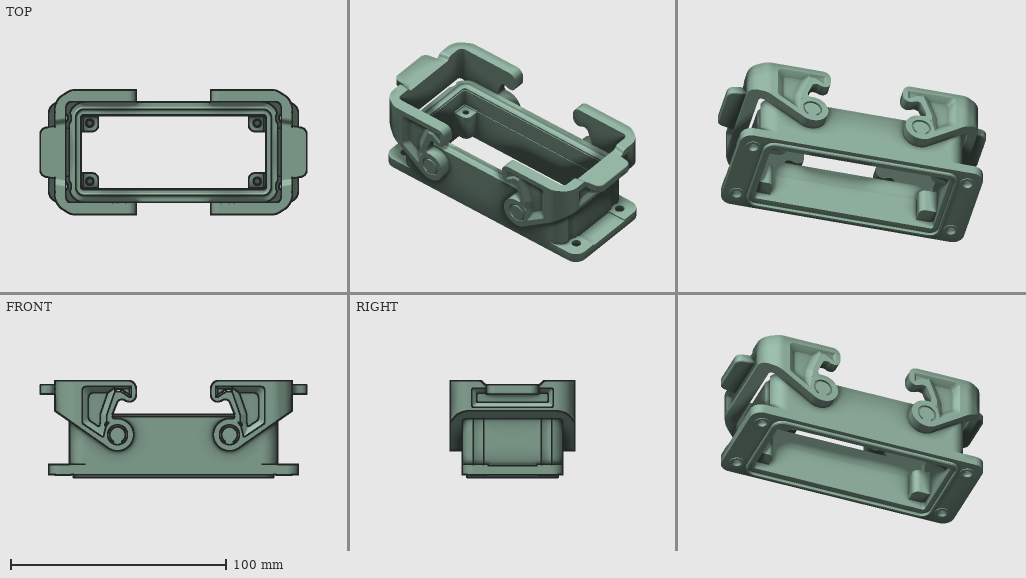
import cadquery as cq
import math


flange_length = 116.0
flange_thickness = 4.85
flange_corner_radius = 5.4
recess_width = 22.4
recess_depth = 0.7
mount_hole_x = 51.25
mount_hole_y = 15.9
mount_hole_diameter = 4.5
screw_relief_radius = 3.8
pad_radius = 3.6
pad_height = 0.35

body_length = 96.9
body_width = 46.7
body_height = 26.9
body_corner_radius = 7.2
opening_length = 85.6
upper_opening_width = 34.2
lower_opening_width = 33.7
opening_corner_radius = 1.5
opening_step_z = 16.8
rebate_margin = 0.3
rebate_depth = 1.0

bead_length = 90.9
bead_width = 40.1
bead_corner_radius = 4.1
bead_half_thickness = 1.45
bead_height = 1.15
bottom_seal_length = 93.0
bottom_seal_width = 42.3
bottom_seal_height = 1.5
bottom_seal_radius = 5.3
bottom_seal_chamfer = 0.4
bottom_seal_thickness = 1.25

post_inner_x = 34.9
post_inner_y = 9.6
post_corner_radius = 3.0
post_bottom_z = 4.0
post_hole_x = 38.9
post_hole_y = 13.5
post_hole_diameter = 2.9
post_hole_depth = 8.0
post_hole_chamfer = 0.4
post_ledge_x = 42.0
post_ledge_y = 16.4
post_ledge_height = 0.4

lever_length = 110.3
lever_width = 58.0
lever_inner_length = 99.9
lever_end_flat_width = 48.6
lever_side_flat_length = 95.1
lever_end_radius = 8.1
lever_side_radius = 6.5
lever_inner_radius = 2.5
lever_top_z = 43.75
lever_end_bottom_z = 29.7
hook_end_x = 17.3
hook_upper_radius = 3.8
hook_lower_radius = 3.3
hook_lower_z = 33.8
pivot_x = 26.0
pivot_z = 18.55
pivot_radius = 7.5

throat_roof_start = (-22.2, 34.2)
throat_roof_top = (-24.2, 34.9)
throat_roof_end = (-25.9, 34.1)
throat_back_lower = (-28.3, 28.2)
throat_corner_start = (-28.3, 27.0)
throat_corner_mid = (-28.0, 26.3)
throat_corner_end_x = -27.3

pin_radius = 3.65
pin_groove_radius = 4.6
pin_groove_depth = 1.0
pin_flat_width = 4.0
pin_face_depth = 0.2

wall_taper = 55
side_pocket_depth = 2.1
side_pocket_radius = 4.0
side_pocket_tip_radius = 0.8
hook_pocket_depth = 0.7
notch_depth = 0.4
side_pocket_left_x = -42.5
pocket_top_z = 41.0

side_pocket_points = [
    (side_pocket_left_x, pocket_top_z),
    (-26.4, pocket_top_z),
    (-31.0, 27.7),
    (-31.15, 23.5),
    (-32.6, 17.3),
    (side_pocket_left_x, 23.9),
]
hook_pocket_points = [
    (-28.5, pocket_top_z),
    (-19.65, pocket_top_z),
    (-19.65, 36.0),
    (-20.5, 36.0),
    (-24.5, 38.65),
    (-27.2, 38.65),
]
notch_points = [(-34.0, 24.6), (-30.0, 24.4), (-31.4, 22.4), (-34.0, 22.4)]

end_pocket_width = 37.7
end_pocket_bottom_z = 31.3
end_pocket_top_z = 40.2
end_pocket_depth = 1.6
end_pocket_radius = 1.6

tab_end_x = 62.0
tab_top_z = 41.8
tab_bottom_z = 37.4
tab_root_half_width = 12.9
tab_tip_half_width = 11.1
tab_corner_radius = 3.4
tab_top_radius = 0.6
tab_bottom_radius = 0.8
dip_run = 3.2

lever_half_length = lever_length / 2
lever_half_width = lever_width / 2
lever_inner_x = lever_inner_length / 2
overlap = 1.0


def rounded_block(length, width, radius, bottom, top):
    """Upright block centred on Z with rounded vertical edges."""
    block = cq.Workplane("XY").workplane(offset=bottom).rect(length, width).extrude(top - bottom)
    return block.edges("|Z").fillet(radius)


def four_corners(x, y):
    return [(-x, -y), (-x, y), (x, -y), (x, y)]


def cylinders(x, y, radius, bottom, top):
    """Four upright cylinders placed symmetrically about both axes."""
    plane = cq.Workplane("XY").workplane(offset=bottom)
    return plane.pushPoints(four_corners(x, y)).circle(radius).extrude(top - bottom)


def with_mirror(shape, plane):
    return shape.union(shape.mirror(plane))


def make_shell():
    """Flange and hollow body."""
    body = rounded_block(body_length, body_width, body_corner_radius, 0, body_height)
    reliefs = cylinders(mount_hole_x, mount_hole_y, screw_relief_radius, 0, body_height)
    body = body.cut(reliefs)

    flange = rounded_block(flange_length, body_width, flange_corner_radius, 0, flange_thickness)
    recess = cq.Workplane("XY").box(flange_length, recess_width, 2 * recess_depth)
    flange = flange.cut(recess.translate((0, 0, flange_thickness)))

    pads = cylinders(mount_hole_x, mount_hole_y, pad_radius, -pad_height, 0)
    shell = body.union(flange).union(pads)

    lower_opening = rounded_block(
        opening_length, lower_opening_width, opening_corner_radius, 0, opening_step_z
    )
    upper_opening = rounded_block(
        opening_length, upper_opening_width, opening_corner_radius, opening_step_z, body_height
    )
    rebate = rounded_block(
        opening_length + 2 * rebate_margin,
        upper_opening_width + 2 * rebate_margin,
        opening_corner_radius,
        body_height - rebate_depth,
        body_height,
    )
    holes = cylinders(mount_hole_x, mount_hole_y, mount_hole_diameter / 2, -pad_height, flange_thickness)
    return shell.cut(lower_opening).cut(upper_opening).cut(rebate).cut(holes)


def make_bottom_seal():
    """Narrow seal ring standing out below the flange."""
    seal = rounded_block(bottom_seal_length, bottom_seal_width, bottom_seal_radius, -bottom_seal_height, 0)
    seal = seal.faces("<Z").edges().chamfer(bottom_seal_chamfer)
    inside = rounded_block(
        bottom_seal_length - 2 * bottom_seal_thickness,
        bottom_seal_width - 2 * bottom_seal_thickness,
        bottom_seal_radius - bottom_seal_thickness,
        -bottom_seal_height,
        0,
    )
    return seal.cut(inside)


def make_bead():
    """Rounded sealing bead running around the top rim."""
    path = cq.Workplane("XY").workplane(offset=body_height).rect(bead_length, bead_width)
    path = path.extrude(bead_height).edges("|Z").fillet(bead_corner_radius).faces("<Z").wires()
    centre_y = -bead_width / 2
    flank_chord = math.hypot(bead_half_thickness, bead_height)
    bead_radius = flank_chord**2 / (2 * bead_height)
    bead_flank_bulge = bead_radius - math.sqrt(bead_radius**2 - (flank_chord / 2) ** 2)
    crest = (centre_y, body_height + bead_height)
    profile = (
        cq.Workplane("YZ")
        .moveTo(centre_y - bead_half_thickness, body_height)
        .sagittaArc(crest, -bead_flank_bulge)
        .sagittaArc((centre_y + bead_half_thickness, body_height), -bead_flank_bulge)
        .close()
    )
    return profile.sweep(cq.Workplane(path.val()), transition="right")


def make_posts():
    """Four corner posts with blind screw holes for the insert."""
    size_x = opening_length / 2 + overlap - post_inner_x
    size_y = lower_opening_width / 2 + overlap - post_inner_y
    post = (
        cq.Workplane("XY")
        .workplane(offset=post_bottom_z)
        .center(-post_inner_x - size_x / 2, -post_inner_y - size_y / 2)
        .rect(size_x, size_y)
        .extrude(opening_step_z + post_ledge_height - post_bottom_z)
        .edges("|Z and >X and >Y")
        .fillet(post_corner_radius)
    )
    hole = (
        cq.Workplane("XY")
        .workplane(offset=opening_step_z)
        .center(-post_hole_x, -post_hole_y)
        .circle(post_hole_diameter / 2)
        .extrude(-post_hole_depth)
    )
    ledge_cut = (
        cq.Workplane("XY")
        .workplane(offset=opening_step_z)
        .rect(2 * post_ledge_x, 2 * post_ledge_y)
        .extrude(post_ledge_height)
    )
    post = post.cut(ledge_cut).cut(hole)
    rim = cq.selectors.RadiusNthSelector(0)
    post = post.edges("%CIRCLE").edges(rim).edges(">Z").chamfer(post_hole_chamfer)
    return with_mirror(with_mirror(post, "YZ"), "XZ")


def make_lever_envelope():
    """Outer plan of both levers: a rectangle with bevelled and rounded corners."""
    end_y = lever_end_flat_width / 2
    side_x = lever_side_flat_length / 2
    corners = [
        (-lever_half_length, -end_y),
        (-side_x, -lever_half_width),
        (side_x, -lever_half_width),
        (lever_half_length, -end_y),
        (lever_half_length, end_y),
        (side_x, lever_half_width),
        (-side_x, lever_half_width),
        (-lever_half_length, end_y),
    ]
    block = cq.Workplane("XY").polyline(corners).close().extrude(lever_top_z)
    block = block.faces("<X or >X").edges("|Z").fillet(lever_end_radius)
    return block.faces("<Y or >Y").edges("|Z").fillet(lever_side_radius)


def make_lever_outline():
    """Side outline of the -X lever, extruded across its full width."""
    reach = lever_half_length - pivot_x
    drop = lever_end_bottom_z - pivot_z
    slope = math.atan2(drop, reach) + math.asin(pivot_radius / math.hypot(reach, drop))
    tangent_x = -pivot_x - pivot_radius * math.sin(slope)
    tangent_z = pivot_z - pivot_radius * math.cos(slope)

    diagonal = math.sqrt(0.5)
    upper_x = -hook_end_x - hook_upper_radius
    upper_z = lever_top_z - hook_upper_radius
    lower_x = -hook_end_x - hook_lower_radius
    lower_z = hook_lower_z + hook_lower_radius
    hook_upper_mid = (upper_x + hook_upper_radius * diagonal, upper_z + hook_upper_radius * diagonal)
    hook_lower_mid = (lower_x + hook_lower_radius * diagonal, lower_z - hook_lower_radius * diagonal)
    return (
        cq.Workplane("XZ")
        .moveTo(-lever_half_length, lever_top_z)
        .lineTo(upper_x, lever_top_z)
        .threePointArc(hook_upper_mid, (-hook_end_x, upper_z))
        .lineTo(-hook_end_x, lower_z)
        .threePointArc(hook_lower_mid, (lower_x, hook_lower_z))
        .lineTo(*throat_roof_start)
        .threePointArc(throat_roof_top, throat_roof_end)
        .lineTo(*throat_back_lower)
        .lineTo(*throat_corner_start)
        .threePointArc(throat_corner_mid, (throat_corner_end_x, pivot_z + pivot_radius))
        .lineTo(-pivot_x, pivot_z + pivot_radius)
        .threePointArc((-pivot_x + pivot_radius, pivot_z), (-pivot_x, pivot_z - pivot_radius))
        .threePointArc(
            (
                -pivot_x - pivot_radius * math.sin(slope / 2),
                pivot_z - pivot_radius * math.cos(slope / 2),
            ),
            (tangent_x, tangent_z),
        )
        .lineTo(-lever_half_length, lever_end_bottom_z)
        .close()
        .extrude(lever_half_width, both=True)
    )


def make_side_pockets():
    """Tapered pockets and pivot pin groove in the -Y cheek of the -X lever."""
    face = cq.Workplane("XZ", origin=(0, -lever_half_width, 0))
    pockets = face.polyline(side_pocket_points).close().extrude(-side_pocket_depth, taper=wall_taper)
    left_corners = cq.selectors.BoxSelector(
        (side_pocket_left_x - overlap, -lever_half_width, pivot_z),
        (side_pocket_left_x + 2 * side_pocket_depth, 0, lever_top_z),
    )
    pockets = pockets.edges("not(#Y)").edges(left_corners).fillet(side_pocket_radius)
    pockets = pockets.edges("not(#Y)").edges("<Z").fillet(side_pocket_tip_radius)
    notch = face.polyline(notch_points).close().extrude(-notch_depth, taper=wall_taper)
    hook_pocket = face.polyline(hook_pocket_points).close().extrude(-hook_pocket_depth, taper=wall_taper)
    pockets = pockets.union(notch).union(hook_pocket)

    pivot_face = face.center(-pivot_x, pivot_z)
    groove = pivot_face.circle(pin_groove_radius).circle(pin_radius).extrude(-pin_groove_depth)
    flat = (
        pivot_face.center(0, -pin_groove_radius)
        .rect(pin_flat_width, 2 * (pin_groove_radius - pin_radius) + overlap)
        .extrude(-pin_groove_depth)
    )
    pin_face = pivot_face.circle(pin_groove_radius).extrude(-pin_face_depth)
    return pockets.union(groove.cut(flat)).union(pin_face)


def make_end_pocket():
    """Tapered rectangular pocket in the outer end of the -X lever."""
    height = end_pocket_top_z - end_pocket_bottom_z
    return (
        cq.Workplane("YZ", origin=(-lever_half_length, 0, 0))
        .center(0, (end_pocket_top_z + end_pocket_bottom_z) / 2)
        .rect(end_pocket_width, height)
        .extrude(end_pocket_depth, taper=wall_taper)
        .edges("not(#X)")
        .fillet(end_pocket_radius)
    )


def tab_half_width(x):
    """Half width of the tapering finger tab at distance x from the centre."""
    fraction = (x - lever_inner_x) / (tab_end_x - lever_inner_x)
    return tab_root_half_width + fraction * (tab_tip_half_width - tab_root_half_width)


def dip_section(x):
    """S-sided cross-section of the dip at distance x from the centre."""
    foot = tab_half_width(x)
    middle = foot + dip_run / 2
    shoulder = foot + dip_run
    middle_z = (tab_top_z + lever_top_z) / 2
    ease = (lever_top_z - tab_top_z) / 8
    quarter = dip_run / 4
    return (
        cq.Workplane("YZ", origin=(-x, 0, 0))
        .moveTo(-foot, tab_top_z)
        .lineTo(foot, tab_top_z)
        .threePointArc((foot + quarter, tab_top_z + ease), (middle, middle_z))
        .threePointArc((middle + quarter, lever_top_z - ease), (shoulder, lever_top_z))
        .lineTo(-shoulder, lever_top_z)
        .threePointArc((-middle - quarter, lever_top_z - ease), (-middle, middle_z))
        .threePointArc((-foot - quarter, tab_top_z + ease), (-foot, tab_top_z))
        .close()
        .wire()
        .val()
    )


def make_dip():
    """Cutter that lowers the top edge of the lever to the level of the finger tab."""
    inner = dip_section(lever_inner_x)
    outer = dip_section(lever_half_length)
    return cq.Workplane(cq.Solid.makeLoft([inner, outer], True))


def make_tab():
    """Finger tab projecting from the outer end of the -X lever."""
    outline = [
        (-lever_inner_x, -tab_root_half_width),
        (-tab_end_x, -tab_tip_half_width),
        (-tab_end_x, tab_tip_half_width),
        (-lever_inner_x, tab_root_half_width),
    ]
    tab = cq.Workplane("XY").workplane(offset=tab_bottom_z).polyline(outline).close()
    tab = tab.extrude(tab_top_z - tab_bottom_z)
    tab = tab.edges("|Z and <X").fillet(tab_corner_radius)
    tab = tab.faces("<X").edges(">Z").fillet(tab_top_radius)
    return tab.faces("<X").edges("<Z").fillet(tab_bottom_radius)


def make_lever():
    """Complete lever on the -X end."""
    outer = make_lever_envelope()
    inner = rounded_block(lever_inner_length, body_width, lever_inner_radius, 0, lever_top_z)
    lever = make_lever_outline().intersect(outer.cut(inner))
    lever = lever.cut(with_mirror(make_side_pockets(), "XZ"))
    lever = lever.cut(make_end_pocket()).cut(make_dip())
    return lever.union(make_tab())


levers = with_mirror(make_lever(), "YZ")
result = make_shell().union(make_bottom_seal()).union(make_bead()).union(make_posts()).union(levers)